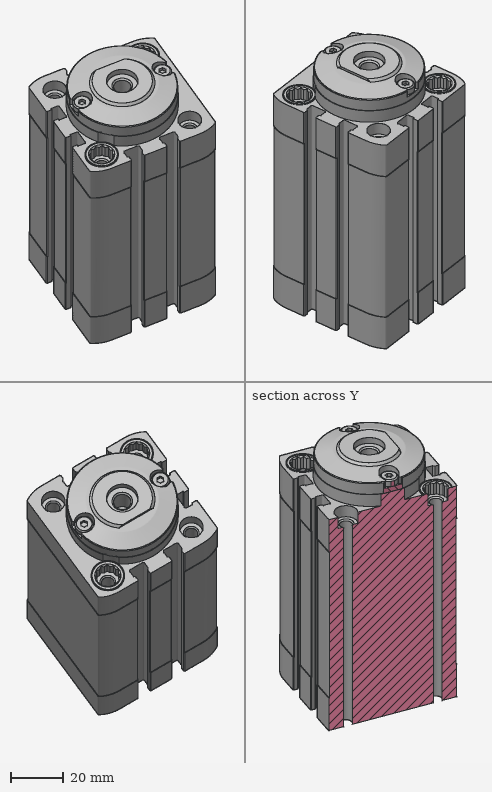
import cadquery as cq
import math

total_height = 110.0
housing_width = 54.5
housing_height = 96.6
collar_height = 15.0
tube_inset = 0.2

corner_arc_radius = 15.0
corner_arc_start = 19.1
corner_round = 0.8

slot_offset = 7.7
slot_opening = 5.4
slot_inner_width = 6.7
slot_depth = 5.6
slot_floor_round = 0.5
slot_mouth_chamfer = 0.3
square_lip = 2.3
bevel_lip = 1.9

hole_offset = 19.0
thread_diameter = 5.0
thread_mouth_diameter = 6.0
plain_bore_diameter = 9.0
plain_bore_depth = 5.1
groove_diameter = 12.8
socket_rim_diameter = 12.0
boss_clearance_diameter = 13.0
socket_mouth_diameter = 10.0
socket_tip_diameter = 9.6
socket_depth = 5.6

boss_diameter = 42.9
boss_height = 5.4
cover_bottom = housing_height + boss_height
cover_diameter = 42.5
cover_rim_chamfer = 0.3
cover_rim_height = 107.1
cover_flat_diameter = 27.9
cover_flat_height = 109.0
cover_flat_round = 1.6

screw_offset = 17.4
screw_seat_height = 104.2
screw_seat_diameter = 7.8
screw_mouth_width = 5.5
screw_mouth_flare = 6.9
screw_mouth_reach = 20.8
screw_head_diameter = 7.0
screw_head_height = 2.9
screw_head_chamfer = 0.5
hex_across_flats = 2.5
hex_depth = 1.3

rod_diameter = 25.0
rod_flat = 9.7
rod_bottom = housing_height - collar_height
rod_chamfer_width = 1.0
rod_chamfer_height = total_height - cover_flat_height
rod_bore_diameter = 12.0
rod_bore_depth = 2.6
rod_thread_mouth = 7.8
rod_thread_diameter = 6.6
rod_thread_depth = 13.2
drill_tip_slope = math.tan(math.radians(30))

hexagon_sides = 6
hexagon_half_step = 180 / hexagon_sides


def cylinder(diameter, bottom, top, x=0, y=0):
    disc = cq.Workplane("XY", origin=(x, y, bottom)).circle(diameter / 2)
    return disc.extrude(top - bottom)


def turned(points, x=0, y=0):
    """Solid of revolution about Z from (radius, height) points, moved to x, y."""
    return cq.Workplane("XZ").polyline(points).close().revolve().translate((x, y, 0))


def housing_prism(half, bottom, top):
    """Square bar whose four corners are arcs tangent to the X sides."""
    center_x = half - corner_arc_radius
    drop = half - corner_arc_start
    tip_x = center_x + math.sqrt(corner_arc_radius**2 - drop**2)
    half_angle = math.asin(drop / corner_arc_radius) / 2
    mid_x = center_x + corner_arc_radius * math.cos(half_angle)
    mid_y = corner_arc_start + corner_arc_radius * math.sin(half_angle)
    bar = (
        cq.Workplane("XY", origin=(0, 0, bottom))
        .moveTo(half, -corner_arc_start)
        .lineTo(half, corner_arc_start)
        .threePointArc((mid_x, mid_y), (tip_x, half))
        .lineTo(-tip_x, half)
        .threePointArc((-mid_x, mid_y), (-half, corner_arc_start))
        .lineTo(-half, -corner_arc_start)
        .threePointArc((-mid_x, -mid_y), (-tip_x, -half))
        .lineTo(tip_x, -half)
        .threePointArc((mid_x, -mid_y), (half, -corner_arc_start))
        .close()
        .extrude(top - bottom)
    )
    y_side_edges = bar.edges("|Z").edges(">Y or <Y")
    return y_side_edges.fillet(corner_round)


def slot_cutter(half, lip, bevel):
    """T-slot along Z, centred on X = 0 and open toward -Y through a face at Y = -half."""
    outside = housing_width / 2
    mouth = slot_opening / 2 + slot_mouth_chamfer
    narrow = slot_opening / 2
    wide = slot_inner_width / 2
    floor = slot_depth - outside
    points = [
        (-narrow, slot_mouth_chamfer - half),
        (-mouth, -half),
        (mouth, -half),
        (narrow, slot_mouth_chamfer - half),
        (narrow, lip - outside),
        (wide, lip + bevel - outside),
        (wide, floor),
        (-wide, floor),
        (-wide, lip + bevel - outside),
        (-narrow, lip - outside),
    ]
    slot = cq.Workplane("XY").polyline(points).close().extrude(housing_height)
    return slot.faces(">Y").edges("|Z").fillet(slot_floor_round)


def housing_section(half, bottom, top):
    """Slotted length of the housing with its flat faces at the distance half."""
    body = housing_prism(half, bottom, top)
    square = slot_cutter(half, square_lip, 0)
    bevelled = slot_cutter(half, bevel_lip, (slot_inner_width - slot_opening) / 2)
    for side in (-1, 1):
        shift = (side * slot_offset, 0, 0)
        body = body.cut(square.translate(shift))
        for turn in (-90, 90):
            body = body.cut(bevelled.translate(shift).rotate((0, 0, 0), (0, 0, 1), turn))
    return body


def threaded_hole(x, y, mouth_height):
    """Through hole with a countersunk mouth at mouth_height."""
    radius = thread_diameter / 2
    mouth = thread_mouth_diameter / 2
    return turned(
        [
            (0, 0),
            (radius, 0),
            (radius, mouth_height - mouth + radius),
            (mouth, mouth_height),
            (0, mouth_height),
        ],
        x,
        y,
    )


def plain_corner_cutter(x, y):
    floor = housing_height - plain_bore_depth
    bore = cylinder(plain_bore_diameter, floor, housing_height, x, y)
    return bore.union(threaded_hole(x, y, floor))


def socket_corner_cutter(x, y):
    """Twelve-point socket with a chamfered mouth above the threaded hole."""
    floor = housing_height - socket_depth
    hexagon = (
        cq.Workplane("XY", origin=(0, 0, floor))
        .polygon(hexagon_sides, socket_tip_diameter)
        .extrude(socket_depth)
    )
    turned_hexagon = hexagon.rotate((0, 0, 0), (0, 0, 1), hexagon_half_step)
    socket = hexagon.union(turned_hexagon).translate((x, y, 0))
    mouth = socket_mouth_diameter / 2
    countersink = turned(
        [(0, housing_height - mouth), (mouth, housing_height), (0, housing_height)], x, y
    )
    return socket.union(countersink).union(threaded_hole(x, y, floor))


def rim_groove(x, y):
    """Beveled groove around the rim of a socket."""
    outer = groove_diameter / 2
    inner = socket_rim_diameter / 2
    return turned(
        [
            (inner, housing_height),
            (outer, housing_height),
            (outer, housing_height - outer + inner),
        ],
        x,
        y,
    )


def make_boss():
    """Round boss on top, scalloped to clear the two socket corners."""
    boss = cylinder(boss_diameter, housing_height, cover_bottom)
    for side in (-1, 1):
        x = side * hole_offset
        boss = boss.cut(cylinder(boss_clearance_diameter, housing_height, cover_bottom, x, -x))
    return boss


def make_housing():
    half = housing_width / 2
    upper_collar = housing_height - collar_height
    body = housing_section(half, 0, collar_height)
    body = body.union(housing_section(half - tube_inset, collar_height, upper_collar))
    body = body.union(housing_section(half, upper_collar, housing_height))
    body = body.union(make_boss())
    for side in (-1, 1):
        x = side * hole_offset
        body = body.cut(plain_corner_cutter(x, x))
        body = body.cut(rim_groove(x, -x))
        body = body.cut(socket_corner_cutter(x, -x))
    return body.cut(rod_blank())


def rod_blank():
    """Round bar with one flat on its -X side, from the blind bore to the top."""
    bar = cylinder(rod_diameter, rod_bottom, total_height)
    keep = cq.Workplane("XY", origin=(-rod_flat, 0, rod_bottom)).box(
        rod_diameter, rod_diameter, total_height - rod_bottom, centered=(False, True, False)
    )
    return bar.intersect(keep)


def make_rod():
    radius = rod_diameter / 2
    chamfered_bar = turned(
        [
            (0, rod_bottom),
            (radius, rod_bottom),
            (radius, total_height - rod_chamfer_height),
            (radius - rod_chamfer_width, total_height),
            (0, total_height),
        ]
    )
    thread = rod_thread_diameter / 2
    mouth = rod_thread_mouth / 2
    bore_floor = total_height - rod_bore_depth
    thread_floor = total_height - rod_thread_depth
    bore = turned(
        [
            (0, thread_floor - thread * drill_tip_slope),
            (thread, thread_floor),
            (thread, bore_floor - mouth + thread),
            (mouth, bore_floor),
            (rod_bore_diameter / 2, bore_floor),
            (rod_bore_diameter / 2, total_height),
            (0, total_height),
        ]
    )
    return rod_blank().intersect(chamfered_bar).cut(bore)


def screw_seat():
    """Recess for the -Y screw, flaring out through the rim of the cover."""
    seat = cylinder(screw_seat_diameter, screw_seat_height, total_height, 0, -screw_offset)
    narrow = screw_mouth_width / 2
    flare = screw_mouth_flare / 2
    seat_radius = screw_seat_diameter / 2
    neck_y = -screw_offset - math.sqrt(seat_radius**2 - narrow**2)
    mouth = (
        cq.Workplane("XY", origin=(0, 0, screw_seat_height))
        .polyline(
            [
                (-narrow, neck_y),
                (-flare, -screw_mouth_reach),
                (-flare, -boss_diameter / 2),
                (flare, -boss_diameter / 2),
                (flare, -screw_mouth_reach),
                (narrow, neck_y),
            ]
        )
        .close()
        .extrude(total_height - screw_seat_height)
    )
    return seat.union(mouth)


def make_cover():
    radius = cover_diameter / 2
    cover = turned(
        [
            (0, cover_bottom),
            (radius, cover_bottom),
            (radius, cover_rim_height - cover_rim_chamfer),
            (radius - cover_rim_chamfer, cover_rim_height),
            (cover_flat_diameter / 2, cover_flat_height),
            (0, cover_flat_height),
        ]
    )
    cover = cover.faces(">Z").edges().fillet(cover_flat_round)
    seat = screw_seat()
    cover = cover.cut(seat).cut(seat.mirror("XZ"))
    return cover.cut(rod_blank())


def make_screw(y):
    """Low cylindrical screw head with a hexagon socket."""
    top = screw_seat_height + screw_head_height
    head = cylinder(screw_head_diameter, screw_seat_height, top, 0, y)
    head = head.faces(">Z").chamfer(screw_head_chamfer)
    socket = (
        cq.Workplane("XY", origin=(0, y, top - hex_depth))
        .polygon(hexagon_sides, hex_across_flats / math.cos(math.radians(hexagon_half_step)))
        .extrude(hex_depth)
        .rotate((0, y, 0), (0, y, 1), hexagon_half_step)
    )
    return head.cut(socket)


housing = make_housing()
cover = make_cover()
rod = make_rod()
screws = [make_screw(side * screw_offset) for side in (-1, 1)]

result = cq.Compound.makeCompound(
    [housing.val(), cover.val(), rod.val(), *[screw.val() for screw in screws]]
)